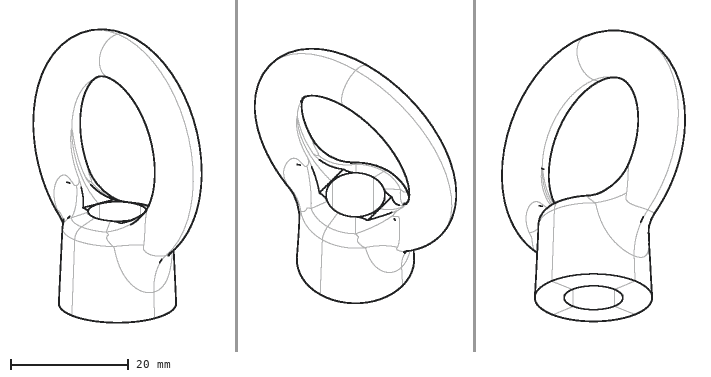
import cadquery as cq

total_height = 48.5
ring_outer_diameter = 41.0

ring_bar_radius = 4.0
ring_outer_radius = ring_outer_diameter / 2
ring_path_radius = ring_outer_radius - ring_bar_radius
ring_inner_radius = ring_path_radius - ring_bar_radius
ring_center_height = total_height - ring_outer_radius

base_radius = 10.0
rim_radius = 9.3
rim_height = 15.05
apex_height = 18.3
shoulder_radius = 2.25
bore_radius = 5.0
crown_top_height = apex_height - (apex_height - rim_height) * bore_radius / rim_radius

blend_radius = 9.2
eye_drop = 0.1


def make_boss():
    """Solid tapered boss with a conical crown and a rounded shoulder."""
    boss = (
        cq.Workplane("XZ")
        .lineTo(base_radius, 0)
        .lineTo(rim_radius, rim_height)
        .lineTo(0, apex_height)
        .close()
        .revolve(360, (0, 0, 0), (0, 1, 0))
    )
    rim_edge = max(boss.edges("%CIRCLE").vals(), key=lambda edge: edge.Center().z)
    return boss.newObject([rim_edge]).fillet(shoulder_radius)


def make_ring():
    """Round bar bent into a circle standing in the XZ plane."""
    center = cq.Vector(0, 0, ring_center_height)
    axis = cq.Vector(0, 1, 0)
    return cq.Workplane(cq.Solid.makeTorus(ring_path_radius, ring_bar_radius, center, axis))


def make_blended_quarter():
    """The +X +Y quarter of the boss and ring, with the joint between them rounded."""
    quadrant = cq.Workplane("XY").box(ring_outer_diameter, ring_outer_diameter, total_height, centered=False)
    quarter = make_boss().union(make_ring()).intersect(quadrant)
    joint = [
        edge
        for edge in quarter.edges("%BSPLINE").vals()
        if edge.BoundingBox().xmin > bore_radius / 2
    ]
    return quarter.newObject(joint).fillet(blend_radius)


def make_eye_trim():
    """Cylinder along Y through the eye of the ring, limited to the space above the crown."""
    trim_height = ring_center_height - eye_drop
    eye = (
        cq.Workplane("XZ")
        .center(0, trim_height)
        .circle(ring_inner_radius)
        .extrude(base_radius, both=True)
    )
    above_crown = cq.Workplane("XY", origin=(0, 0, crown_top_height)).box(
        ring_outer_diameter, ring_outer_diameter, total_height, centered=(True, True, False)
    )
    return eye.intersect(above_crown)


def with_mirror(body, plane):
    """Join a body to its mirror image, keeping the seams on the mirror plane."""
    return body.union(body.mirror(plane), clean=False)


bore = cq.Workplane("XY").circle(bore_radius).extrude(ring_center_height)
quarter = make_blended_quarter().cut(bore).cut(make_eye_trim())
result = with_mirror(with_mirror(quarter, "XZ"), "YZ")